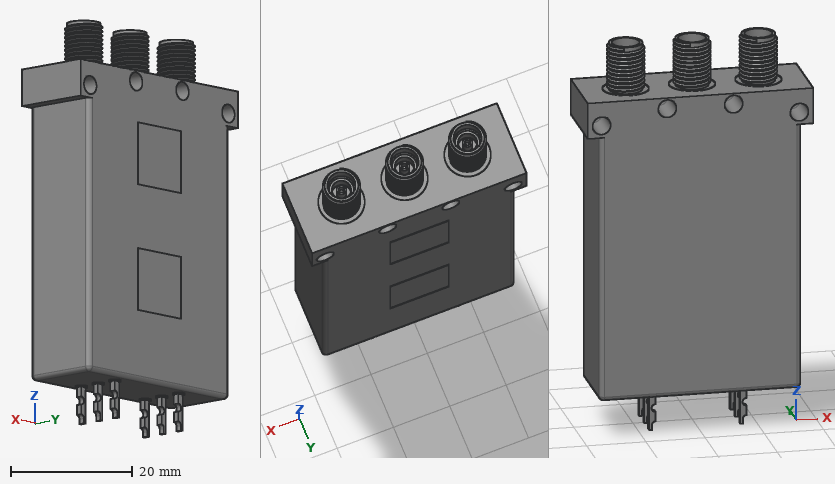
import cadquery as cq
import math

case_height = 45.85
header_height = 6.15
connector_height = 7.95
pin_length = 6.3
header_top = case_height + header_height

header_width = 38.1
case_width = 34.05
overall_depth = 13.3
label_thickness = 0.1
case_depth = overall_depth - label_thickness
header_depth = case_depth
edge_radius = 0.8

connector_pitch = 11.2
connector_count = 3
thread_radius = 3.1
thread_root_radius = 2.8
thread_turns = 10.7
thread_flank_width = 0.65
thread_root_overlap = 0.05
plain_tip_height = 0.4
bore_radius = 2.3
bore_depth = 2.2
bore_floor_radius = 2.05
bore_cone_height = 0.25
socket_radius = 1.6
socket_depth = 2.0
contact_radius = 0.8
contact_hole_radius = 0.45
contact_hole_depth = 1.3
recess_radius = 3.85
recess_depth = 0.1

hole_diameter = 3.05
outer_hole_x = 16.7
outer_hole_drop = 4.05
inner_hole_x = connector_pitch / 2
inner_hole_drop = 1.85

pin_x = 7.7
pin_row_pitch = 3.8
pin_columns = (-pin_x, pin_x)
pin_rows = (-pin_row_pitch, 0, pin_row_pitch)
pin_thickness = 1.0
pin_left = -0.45
pin_right = 0.6
pin_tip_right = 0.0
notch_radius = 0.65
notch_drop = 2.5
tooth_bottom_drop = 4.85
bead_radius = 1.0
bead_height = 0.2

label_size = 10.4
label_count = 2
label_pitch = 21.1
upper_label_top_drop = 8.7


def make_case():
    """Box with rounded upright corners and a rounded bottom rim."""
    case = cq.Workplane("XY").box(case_width, case_depth, case_height, centered=(True, True, False))
    return case.edges("|Z").fillet(edge_radius).faces("<Z").edges().fillet(edge_radius)


def make_header():
    """Cross block with four mounting holes from front to rear."""
    header = (
        cq.Workplane("XY")
        .workplane(offset=case_height)
        .box(header_width, header_depth, header_height, centered=(True, True, False))
    )
    hole_centers = []
    for side in (-1, 1):
        hole_centers.append((side * outer_hole_x, header_top - outer_hole_drop))
        hole_centers.append((side * inner_hole_x, header_top - inner_hole_drop))
    holes = (
        cq.Workplane("XZ")
        .pushPoints(hole_centers)
        .circle(hole_diameter / 2)
        .extrude(header_depth, both=True)
    )
    return header.cut(holes)


def make_thread():
    """Helical ridge of triangular section, with its axis on Z and its lowest turn starting at Z = 0."""
    inner = thread_root_radius - thread_root_overlap
    half = thread_flank_width / 2
    helix_height = connector_height - plain_tip_height
    helix = cq.Wire.makeHelix(helix_height / thread_turns, helix_height, thread_root_radius)
    profile = cq.Workplane("XZ").polyline([(inner, -half), (thread_radius, 0), (inner, half)]).close()
    return profile.sweep(cq.Workplane(obj=helix), isFrenet=True)


def make_connector():
    """Threaded barrel with a stepped socket and a hollow centre contact, standing on Z = 0."""
    floor = connector_height - bore_depth
    barrel = cq.Workplane("XY").circle(thread_root_radius).extrude(connector_height)
    barrel = barrel.union(make_thread())
    bore = (
        cq.Workplane("XZ")
        .moveTo(0, floor)
        .lineTo(bore_floor_radius, floor)
        .lineTo(bore_radius, floor + bore_cone_height)
        .lineTo(bore_radius, connector_height)
        .lineTo(0, connector_height)
        .close()
        .revolve(360, (0, 0, 0), (0, 1, 0))
    )
    socket = (
        cq.Workplane("XY")
        .workplane(offset=floor - socket_depth)
        .circle(socket_radius)
        .circle(contact_radius)
        .extrude(socket_depth)
    )
    contact_hole = (
        cq.Workplane("XY")
        .workplane(offset=floor - contact_hole_depth)
        .circle(contact_hole_radius)
        .extrude(contact_hole_depth)
    )
    return barrel.cut(bore).cut(socket).cut(contact_hole)


def make_recess():
    """Shallow ring sunk into the header around a connector."""
    return cq.Workplane("XY").circle(recess_radius).circle(thread_root_radius).extrude(-recess_depth)


def make_pin():
    """Flat solder pin with a round wire notch, hanging from a round bead at Z = 0."""
    diagonal = math.sqrt(0.5)
    shoulder = pin_right - pin_tip_right
    blade = (
        cq.Workplane("XZ")
        .moveTo(pin_left, 0)
        .lineTo(pin_right, 0)
        .lineTo(pin_right, -tooth_bottom_drop)
        .threePointArc(
            (pin_right - shoulder * diagonal, -tooth_bottom_drop - shoulder * (1 - diagonal)),
            (pin_tip_right, -tooth_bottom_drop - shoulder),
        )
        .lineTo(pin_tip_right, -pin_length)
        .lineTo(pin_left, -pin_length)
        .close()
        .extrude(pin_thickness / 2, both=True)
    )
    notch = (
        cq.Workplane("XZ")
        .center(pin_right, -notch_drop)
        .circle(notch_radius)
        .extrude(pin_thickness, both=True)
    )
    bead = cq.Workplane("XY").circle(bead_radius).extrude(-bead_height)
    return blade.cut(notch).union(bead)


def make_housing():
    """Case, header, connectors and pins as one solid."""
    housing = make_case().union(make_header())
    connector = make_connector()
    recess = make_recess()
    for index in range(connector_count):
        place = ((index - (connector_count - 1) / 2) * connector_pitch, 0, header_top)
        housing = housing.cut(recess.translate(place)).union(connector.translate(place))
    pin = make_pin()
    for x in pin_columns:
        for y in pin_rows:
            housing = housing.union(pin.translate((x, y, 0)))
    return housing


def make_label(top):
    """Thin square plate lying on the rear face, with its upper edge at the given height."""
    plate = cq.Workplane("XY").box(label_size, label_thickness, label_size)
    return plate.translate((0, (case_depth + label_thickness) / 2, top - label_size / 2))


housing = make_housing()
labels = []
for step in range(label_count):
    label_top = header_top - upper_label_top_drop - step * label_pitch
    labels.append(make_label(label_top).val())

result = cq.Compound.makeCompound([housing.solids().val(), *labels])